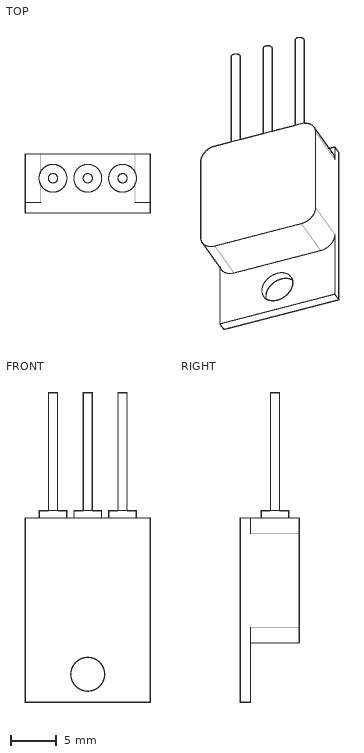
import cadquery as cq

plate_width = 13.72
plate_height = 20.20
plate_thickness = 1.14
hole_diameter = 3.68
hole_height = 3.07

total_depth = 6.48
body_depth = total_depth - plate_thickness
body_height = 13.72
body_corner_radius = 1.70

total_height = 33.91
lead_count = 3
lead_pitch = 3.81
lead_depth = 3.81
lead_diameter = 1.02
bead_diameter = 3.05
bead_height = 0.80


def make_plate():
    plate = cq.Workplane("XY").box(
        plate_width, plate_thickness, plate_height, centered=(True, False, False)
    )
    hole = (
        cq.Workplane("XZ")
        .center(0, hole_height)
        .circle(hole_diameter / 2)
        .extrude(-plate_thickness)
    )
    return plate.cut(hole)


def make_body():
    body = cq.Workplane("XY").box(
        plate_width, body_depth, body_height, centered=(True, False, False)
    )
    body = body.edges("|Y").fillet(body_corner_radius)
    return body.translate((0, plate_thickness, plate_height - body_height))


def make_lead(x):
    base = cq.Workplane("XY", origin=(x, lead_depth, plate_height))
    bead = base.circle(bead_diameter / 2).extrude(bead_height)
    lead = base.circle(lead_diameter / 2).extrude(total_height - plate_height)
    return bead.union(lead)


result = make_plate().union(make_body())
for index in range(lead_count):
    lead_x = (index - (lead_count - 1) / 2) * lead_pitch
    result = result.union(make_lead(lead_x))